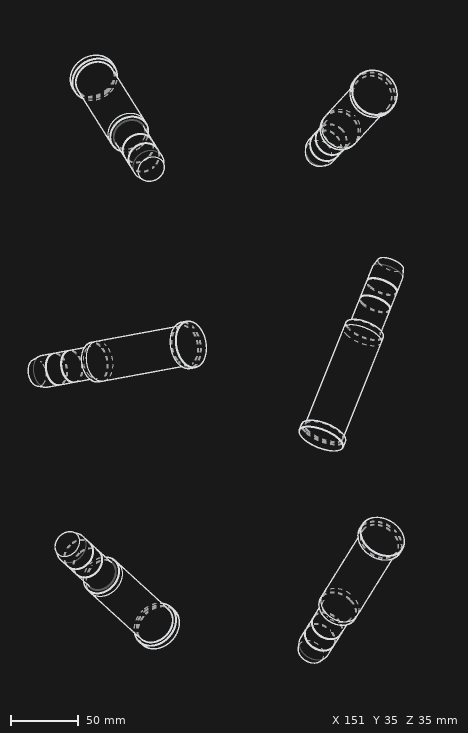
import cadquery as cq
import math

TOTAL_LENGTH = 151.0

HEAD_DIAMETER = 35.0
HEAD_THICKNESS = 6.0
EDGE_CHAMFER = 0.5

BORE_DIAMETER = 30.0
BODY_CLEARANCE = 0.03
PILOT_CLEARANCE = 0.05
BODY_DIAMETER = BORE_DIAMETER - 2 * BODY_CLEARANCE
PILOT_DIAMETER = BORE_DIAMETER - 2 * PILOT_CLEARANCE
PILOT_START = 89.8
BODY_END = 95.0
RELIEF_DEPTH = 0.3

SHANK_DIAMETER = 24.0
ROOT_FILLET = 0.5
GROOVE_STARTS = (116.5, 131.5)
GROOVE_DEPTH = 0.5
NOSE_LENGTH = 7.0
NOSE_ANGLE = 15.0

GROOVE_WIDTH = 0.9


def cylinder(diameter, start, end):
    """Solid cylinder along X between two stations."""
    return cq.Workplane("YZ", origin=(start, 0, 0)).circle(diameter / 2).extrude(end - start)


def round_groove(diameter, start, depth):
    """Ring with an arc-shaped section that cuts a shallow groove into a cylinder."""
    radius = diameter / 2
    end = start + GROOVE_WIDTH
    middle = (start + end) / 2
    return (
        cq.Workplane("XY")
        .moveTo(start, radius)
        .threePointArc((middle, radius - depth), (end, radius))
        .close()
        .revolve(360, (0, 0, 0), (1, 0, 0))
    )


def make_head():
    return cylinder(HEAD_DIAMETER, 0, HEAD_THICKNESS).edges().chamfer(EDGE_CHAMFER)


def make_body():
    body = cylinder(BODY_DIAMETER, HEAD_THICKNESS, PILOT_START)
    relief = round_groove(BODY_DIAMETER, HEAD_THICKNESS, RELIEF_DEPTH)
    pilot = cylinder(PILOT_DIAMETER, PILOT_START, BODY_END).edges(">X").chamfer(EDGE_CHAMFER)
    return body.cut(relief).union(pilot)


def make_shank():
    nose_drop = NOSE_LENGTH * math.tan(math.radians(NOSE_ANGLE))
    shank = cylinder(SHANK_DIAMETER, BODY_END, TOTAL_LENGTH)
    shank = shank.edges(">X").chamfer(NOSE_LENGTH, nose_drop)
    for start in GROOVE_STARTS:
        shank = shank.cut(round_groove(SHANK_DIAMETER, start, GROOVE_DEPTH))
    return shank


def fillet_shank_root(pin):
    """Round the inner corner where the shank leaves the end face of the body."""
    shoulder = pin.faces("|X").faces(">X[-2]")
    return shoulder.edges(cq.selectors.RadiusNthSelector(0)).fillet(ROOT_FILLET)


result = fillet_shank_root(make_head().union(make_body()).union(make_shank()))